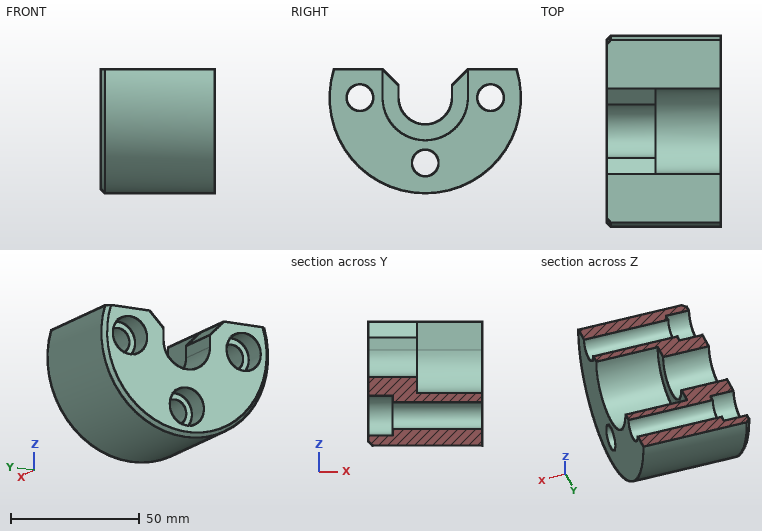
import cadquery as cq

length = 44.45
outer_radius = 37.3
flat_height = 11.1
end_chamfer = 1.65

narrow_length = 19.0
narrow_radius = 10.4
wide_radius = 16.6

hole_circle_radius = 25.4
hole_diameter = 10.3
counterbore_diameter = 15.3
counterbore_depth = 9.55
hole_count = 3
first_hole_angle = 180
hole_sweep_angle = 180


def make_body():
    """Round bar with a chamfered front rim and a flat top."""
    bar = cq.Workplane("YZ").circle(outer_radius).extrude(length)
    bar = bar.faces("<X").edges().chamfer(end_chamfer)
    lower_part = cq.Workplane("XY").box(
        length, 2 * outer_radius, outer_radius + flat_height, centered=(False, True, False)
    )
    return bar.intersect(lower_part.translate((0, 0, -outer_radius)))


def make_channel(radius, channel_length):
    """Round-bottomed channel that reaches the flat top."""
    return (
        cq.Workplane("YZ")
        .moveTo(-radius, flat_height)
        .lineTo(-radius, 0)
        .threePointArc((0, -radius), (radius, 0))
        .lineTo(radius, flat_height)
        .close()
        .extrude(channel_length)
    )


def make_lead_in():
    """45 degree flare from the narrow walls to the width of the wide channel."""
    flare_bottom = flat_height - (wide_radius - narrow_radius)
    return (
        cq.Workplane("YZ")
        .polyline([
            (-narrow_radius, flare_bottom),
            (narrow_radius, flare_bottom),
            (wide_radius, flat_height),
            (-wide_radius, flat_height),
        ])
        .close()
        .extrude(narrow_length)
    )


def make_holes():
    """Through holes with counterbores in the front face."""
    places = cq.Workplane("YZ").polarArray(
        hole_circle_radius, first_hole_angle, hole_sweep_angle, hole_count, fill=True
    )
    through = places.circle(hole_diameter / 2).extrude(length)
    return through.union(places.circle(counterbore_diameter / 2).extrude(counterbore_depth))


wide_channel = make_channel(wide_radius, length - narrow_length).translate((narrow_length, 0, 0))

result = (
    make_body()
    .cut(make_channel(narrow_radius, narrow_length))
    .cut(make_lead_in())
    .cut(wide_channel)
    .cut(make_holes())
)